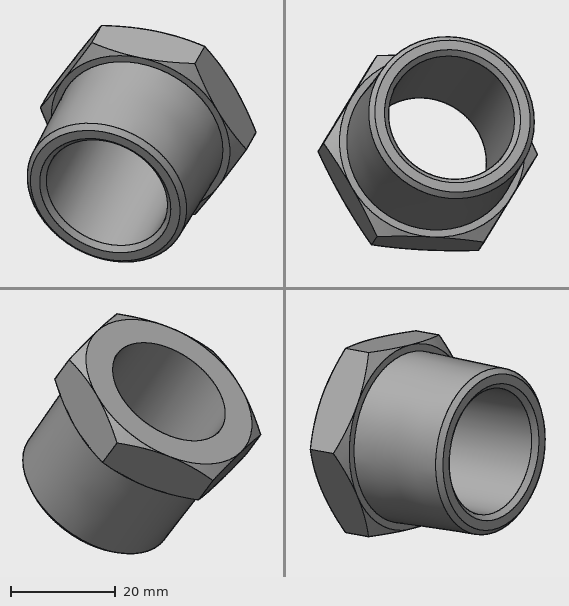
import cadquery as cq
import math

corner_diameter = 41.55
corner_radius = corner_diameter / 2
flat_radius = corner_radius * math.cos(math.radians(30))
head_length = 9.0
head_chamfer_angle = 30.0

total_length = 30.0
spigot_root_radius = 16.6
spigot_tip_radius = 16.1
edge_chamfer = 1.0

bore_radius = 12.22

spigot_length = total_length - head_length
head_chamfer_length = (corner_radius - flat_radius) * math.tan(math.radians(head_chamfer_angle))


def revolve_about_y(profile):
    """Revolve a closed (radius, y) outline around the Y axis."""
    return cq.Workplane("XY").polyline(profile).close().revolve(360, (0, 0, 0), (0, 1, 0))


def make_head():
    """Hexagonal prism from y = 0 to y = head_length, with the corners chamfered at both ends."""
    hexagon = cq.Workplane("XZ").polygon(6, corner_diameter).extrude(-head_length)
    corner_trim = revolve_about_y([
        (0, 0),
        (flat_radius, 0),
        (corner_radius, head_chamfer_length),
        (corner_radius, head_length - head_chamfer_length),
        (flat_radius, head_length),
        (0, head_length),
    ])
    return hexagon.intersect(corner_trim)


def make_spigot():
    """Cone narrowing away from the head, chamfered at its free end."""
    return revolve_about_y([
        (0, 0),
        (spigot_root_radius, 0),
        (spigot_tip_radius, edge_chamfer - spigot_length),
        (spigot_tip_radius - edge_chamfer, -spigot_length),
        (0, -spigot_length),
    ])


def make_bore():
    """Through hole with a chamfered mouth at the free end of the spigot."""
    return revolve_about_y([
        (0, head_length),
        (bore_radius, head_length),
        (bore_radius, edge_chamfer - spigot_length),
        (bore_radius + edge_chamfer, -spigot_length),
        (0, -spigot_length),
    ])


result = make_head().union(make_spigot()).cut(make_bore())